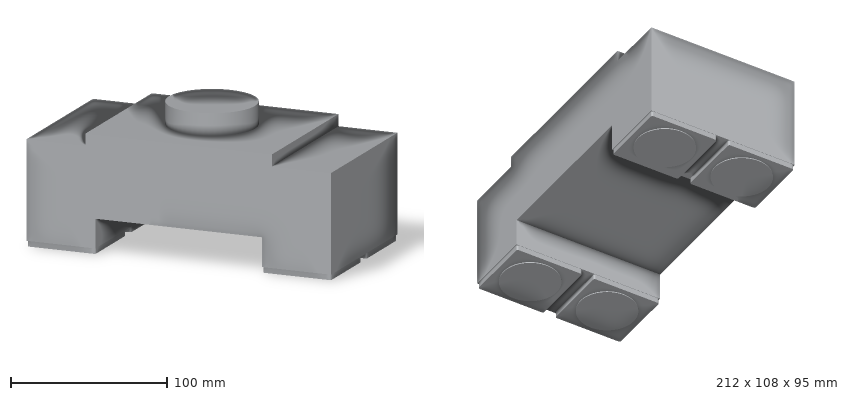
import cadquery as cq

length = 212.0
width = 108.0
total_height = 95.0
leg_length = 48.0
arch_height = 47.7

plate_length = 130.0
plate_height = 8.0
boss_diameter = 60.0
boss_height = 15.0

pad_length = 47.5
pad_width = 49.0
pad_height = 3.8
pad_corner_radius = 1.3
pad_spacing = 57.9
disc_diameter = 40.0
disc_height = 0.6

pad_bottom = disc_height
leg_bottom = pad_bottom + pad_height
plate_top = total_height - boss_height
body_top = plate_top - plate_height
arch_bottom = body_top - arch_height

leg_center_x = (length - leg_length) / 2
pad_center_y = pad_spacing / 2


def block(size_x, size_y, bottom, top):
    """Box centred on the Z axis between two levels."""
    return (
        cq.Workplane("XY")
        .workplane(offset=bottom)
        .rect(size_x, size_y)
        .extrude(top - bottom)
    )


def cylinder(diameter, bottom, top):
    """Cylinder on the Z axis between two levels."""
    return cq.Workplane("XY").workplane(offset=bottom).circle(diameter / 2).extrude(top - bottom)


def make_body():
    opening = block(length - 2 * leg_length, width, leg_bottom, arch_bottom)
    return block(length, width, leg_bottom, body_top).cut(opening)


def make_foot():
    pad = block(pad_length, pad_width, pad_bottom, leg_bottom)
    pad = pad.edges("|Z").fillet(pad_corner_radius)
    return pad.union(cylinder(disc_diameter, 0, pad_bottom))


result = make_body()
result = result.union(block(plate_length, width, body_top, plate_top))
result = result.union(cylinder(boss_diameter, plate_top, total_height))

foot = make_foot()
for x in (-leg_center_x, leg_center_x):
    for y in (-pad_center_y, pad_center_y):
        result = result.union(foot.translate((x, y, 0)))